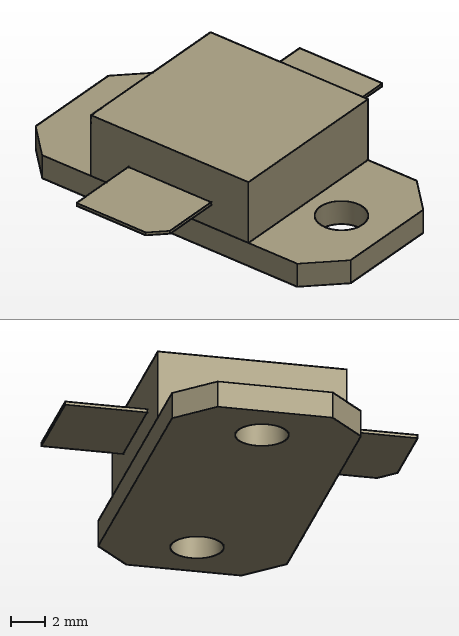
import cadquery as cq

FLANGE_LENGTH = 23.2
FLANGE_WIDTH = 11.25
FLANGE_THICKNESS = 1.6
FLANGE_CORNER = 2.2
HOLE_DIAMETER = 3.1
HOLE_SPACING = 16.5

TOTAL_HEIGHT = 5.8
HOUSING_LENGTH = FLANGE_LENGTH / 2
HOUSING_WIDTH = FLANGE_WIDTH
HOUSING_HEIGHT = TOTAL_HEIGHT - FLANGE_THICKNESS

LEAD_SPAN = 21.0
LEAD_WIDTH = 6.1
LEAD_THICKNESS = 0.2
LEAD_BOTTOM = 3.1
LEAD_CORNER = 1.0


def lead_strip():
    """Plain rectangular strip, before its corner is cut."""
    return (
        cq.Workplane("XY", origin=(0, 0, LEAD_BOTTOM))
        .box(LEAD_WIDTH, LEAD_SPAN, LEAD_THICKNESS, centered=(True, True, False))
    )


def make_flange():
    """Plate with four chamfered corners and two mounting holes."""
    plate = (
        cq.Workplane("XY")
        .box(FLANGE_LENGTH, FLANGE_WIDTH, FLANGE_THICKNESS, centered=(True, True, False))
        .edges("|Z")
        .chamfer(FLANGE_CORNER)
    )
    return (
        plate.faces(">Z")
        .workplane()
        .pushPoints([(-HOLE_SPACING / 2, 0), (HOLE_SPACING / 2, 0)])
        .hole(HOLE_DIAMETER)
    )


def make_housing():
    """Block with a slot through it that the lead fills."""
    block = (
        cq.Workplane("XY", origin=(0, 0, FLANGE_THICKNESS))
        .box(HOUSING_LENGTH, HOUSING_WIDTH, HOUSING_HEIGHT, centered=(True, True, False))
    )
    return block.cut(lead_strip())


def make_lead():
    """Strip with the corner at its +X, -Y end cut off."""
    return lead_strip().edges("|Z and >X").edges("<Y").chamfer(LEAD_CORNER)


flange = make_flange()
housing = make_housing()
lead = make_lead()

result = cq.Compound.makeCompound([flange.val(), housing.val(), lead.val()])